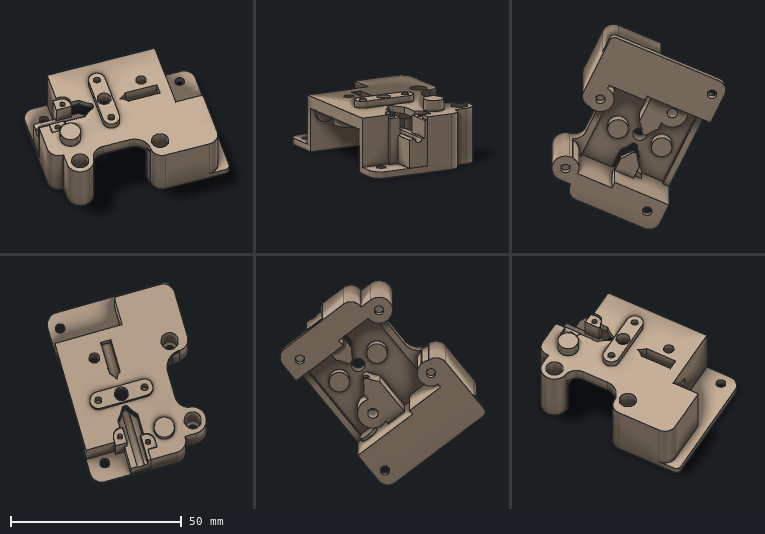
import cadquery as cq
import math

width = 38.0
length = 52.4
deck_z = 16.8
wall = 2.0
flange_radius = 3.5

front_wall_y = 7.9
rear_wall_y = 41.05
cavity_front = front_wall_y + wall
cavity_rear = rear_wall_y - wall
rail_z = 13.1
ceiling_z = deck_z - wall

rear_block_x = 20.5
rear_block_y = 49.45
rear_block_round = 3.5
rear_block_edge = 0.5
rear_flange_round = 1.5
rear_thickening = 1.4
neck_x = 29.55
foot_x = 29.05
foot_radius = 3.5
post_diameter = 8.0
post_radius = post_diameter / 2
neck_rear_radius = 5.0
post_x = 32.55
front_post_y = 7.9
rear_post_y = 32.5
foot_y = front_post_y - post_radius
shoulder_y = 29.0
open_right_x = 32.05
shoulder_radius = 3.5
post_hole = 2.7
post_counterbore = 5.0

channel_left = 11.5
channel_right = 17.55
channel_half = (channel_right - channel_left) / 2
axis_x = channel_left + channel_half
axis_z = 10.55
bore = 2.2
channel_front = 0.15
channel_z = 10.5
tongue_z = 8.5
tongue_shoulder_y = 14.1
tongue_tip_y = 17.55
nose_half = 0.9
nose_length = 0.45
flare = 0.15
guide_shoulder_y = 27.3
guide_tip_y = 23.85

slot_width = 3.15
slot_rear = 37.6
slot_shoulder_y = 27.95
slot_tip_y = 25.85
slot_tube = 4.0

seat_z = 15.8
seat_radius = 2.5
seat_hole = 1.5
seat_hole_depth = 5.0
left_seat = {"x0": 8.75, "x1": 12.2, "y0": 6.95, "y1": 11.65}
right_seat = {"x0": 16.65, "x1": 20.35, "y0": 3.2, "y1": front_wall_y}
left_seat_hole = (10.75, 9.3)
right_seat_hole = (18.25, 5.5)

bar_y = 20.9
bar_width = 5.0
bar_pitch = 14.1
bar_height = 2.05
bar_hole = 2.0
bar_hole_depth = 5.75
bar_center_hole = 4.0
bar_boss = 6.0
bar_boss_z = 12.05
pin_x = 23.8
pin_y = 7.65
pin_diameter = 6.0
pin_top_z = 20.1
hub_x = 9.9
hub_y = 33.7
hub_diameter = 9.0
hub_hole = 3.0
pad_x = 4.45
pad_z = 11.7
pad_diameter = 5.7
pad_thickness = 1.0
flange_hole = 2.7
flange_holes = [(3.45, 47.6), (5.0, 5.4)]


def box(x0, x1, y0, y1, z0, z1):
    """Block between two opposite corners."""
    return cq.Workplane("XY").box(x1 - x0, y1 - y0, z1 - z0, centered=False).translate((x0, y0, z0))


def cylinder(x, y, diameter, z0, z1):
    """Upright cylinder between two heights."""
    return cq.Workplane("XY", origin=(x, y, z0)).circle(diameter / 2).extrude(z1 - z0)


def rod(diameter, y0, y1):
    """Cylinder on the channel axis between two places along Y."""
    return cq.Workplane("XZ", origin=(axis_x, y0, axis_z)).circle(diameter / 2).extrude(y0 - y1)


def pointed_strip(half_width, end_y, shoulder_y, tip_y, nose, z0, z1):
    """Strip along Y whose hollow flanks taper to a tip; a nose width of zero leaves the tip sharp."""
    forward = math.copysign(1, tip_y - end_y)
    nose_y = tip_y - forward * nose_length if nose > 0 else tip_y
    mid_x = (half_width + nose) / 2
    rise = abs(nose_y - shoulder_y)
    run = half_width - nose
    hollow_x = mid_x - flare * rise / math.hypot(rise, run)
    hollow_y = (shoulder_y + nose_y) / 2 - forward * flare * run / math.hypot(rise, run)
    outline = (
        cq.Workplane("XY", origin=(axis_x, 0, z0))
        .moveTo(-half_width, end_y)
        .lineTo(half_width, end_y)
        .lineTo(half_width, shoulder_y)
        .threePointArc((hollow_x, hollow_y), (nose, nose_y))
    )
    if nose > 0:
        outline = outline.threePointArc((0, tip_y), (-nose, nose_y))
    outline = outline.threePointArc((-hollow_x, hollow_y), (-half_width, shoulder_y))
    return outline.close().extrude(z1 - z0)


def seat(x0, x1, y0, y1, z0, z1, rounded):
    """Screw seat with one rounded rear corner."""
    return box(x0, x1, y0, y1, z0, z1).edges(rounded).fillet(seat_radius)


def outer_body():
    """Full-height outline with the foot, the front post, the neck and the rear block."""
    neck_center_x = neck_x + post_radius
    neck_front_y = front_post_y + math.sqrt((2 * post_radius) ** 2 - (neck_center_x - post_x) ** 2)
    tangent_point = ((neck_center_x + post_x) / 2, (neck_front_y + front_post_y) / 2)
    body = (
        cq.Workplane("XY")
        .moveTo(0, 0)
        .lineTo(foot_x - foot_radius, 0)
        .radiusArc((foot_x, foot_radius), -foot_radius)
        .lineTo(foot_x, foot_y)
        .lineTo(post_x, foot_y)
        .lineTo(*tangent_point)
        .radiusArc((neck_x, neck_front_y), post_radius)
        .lineTo(neck_x, shoulder_y - neck_rear_radius)
        .radiusArc((neck_x + neck_rear_radius, shoulder_y), neck_rear_radius)
        .lineTo(width - shoulder_radius, shoulder_y)
        .radiusArc((width, shoulder_y + shoulder_radius), -shoulder_radius)
        .lineTo(width, rear_block_y - rear_block_round)
        .radiusArc((width - rear_block_round, rear_block_y), -rear_block_round)
        .lineTo(rear_block_x + rear_block_edge, rear_block_y)
        .radiusArc((rear_block_x, rear_block_y - rear_block_edge), -rear_block_edge)
        .lineTo(rear_block_x, rear_wall_y)
        .lineTo(0, rear_wall_y)
        .close()
        .extrude(deck_z)
    )
    return body.union(cylinder(post_x, front_post_y, post_diameter, 0, deck_z))


def rear_flange():
    flange = box(0, width, cavity_rear, length, 0, wall)
    flange = flange.edges("|Z and >Y and <X").fillet(flange_radius)
    return flange.edges("|Z and >Y and >X").fillet(rear_flange_round)


def cavity():
    """Space under the deck, open on both sides below the edge rails."""
    thick_rear = cavity_rear - rear_thickening
    space = cq.Workplane("XY")
    for left, right, top in ((wall, neck_x - wall, ceiling_z), (0, open_right_x, rail_z)):
        space = space.union(box(left, channel_right, cavity_front, cavity_rear, 0, top))
        space = space.union(box(channel_right, rear_block_x, front_wall_y, cavity_rear, 0, top))
        space = space.union(box(rear_block_x, right, front_wall_y, thick_rear, 0, top))
    return space


def channel_cut():
    """Front-left corner above the flange, and the channel above the tongue."""
    corner = box(0, channel_right, 0, front_wall_y, wall, deck_z)
    channel = pointed_strip(
        channel_half, 0, tongue_shoulder_y, tongue_tip_y, nose_half, channel_z, deck_z
    )
    return corner.union(channel)


def channel_parts():
    """Tongue, the block that carries it and the two screw seats."""
    parts = pointed_strip(
        channel_half, channel_front, tongue_shoulder_y, tongue_tip_y, nose_half, tongue_z, channel_z
    )
    parts = parts.union(box(channel_left, channel_right, channel_front, front_wall_y, 0, channel_z))
    parts = parts.union(seat(**left_seat, z0=channel_z, z1=seat_z, rounded="|Z and >Y and <X"))
    parts = parts.union(
        box(left_seat["x0"], channel_left, left_seat["y0"], cavity_front, 0, seat_z)
    )
    return parts.union(
        box(right_seat["x0"], channel_right, channel_front, right_seat["y1"], channel_z, seat_z)
    )


def under_deck_parts():
    """Posts, guide, hub, bar bosses and the rounded pad on the rear wall."""
    parts = pointed_strip(
        channel_half, cavity_rear, guide_shoulder_y, guide_tip_y, nose_half, tongue_z, ceiling_z
    )
    parts = parts.union(cylinder(hub_x, hub_y, hub_diameter, tongue_z, ceiling_z))
    for y in (front_post_y, rear_post_y):
        parts = parts.union(cylinder(post_x, y, post_diameter, 0, ceiling_z))
    for side in (-1, 1):
        parts = parts.union(
            cylinder(axis_x + side * bar_pitch / 2, bar_y, bar_boss, bar_boss_z, ceiling_z)
        )
    pad_radius = pad_diameter / 2
    pad_front = cavity_rear - pad_thickness
    pad = (
        cq.Workplane("XZ", origin=(pad_x, cavity_rear, pad_z))
        .circle(pad_radius)
        .extrude(pad_thickness)
        .intersect(box(pad_x - pad_radius, pad_x + pad_radius, pad_front, cavity_rear, 0, pad_z))
    )
    pad = pad.union(
        box(pad_x - pad_radius, pad_x + pad_radius, pad_front, cavity_rear, pad_z, ceiling_z)
    )
    return parts.union(pad)


def deck_parts():
    """Rounded bar and pin standing on the deck."""
    bar = (
        cq.Workplane("XY", origin=(axis_x, bar_y, ceiling_z))
        .slot2D(bar_pitch + bar_width, bar_width)
        .extrude(wall + bar_height)
    )
    return bar.union(cylinder(pin_x, pin_y, pin_diameter, ceiling_z, pin_top_z))


def slot_cut():
    """Pointed slot whose floor is the rounded back of the tube around the bore."""
    slot = pointed_strip(
        slot_width / 2, slot_rear, slot_shoulder_y, slot_tip_y, 0, axis_z, deck_z
    )
    return slot.cut(rod(slot_tube, 0, length))


def holes():
    """Upright holes and the bore along the channel axis."""
    cuts = rod(bore, 0, length)
    for x, y in flange_holes:
        cuts = cuts.union(cylinder(x, y, flange_hole, 0, wall))
    for y in (front_post_y, rear_post_y):
        cuts = cuts.union(cylinder(post_x, y, post_hole, 0, deck_z))
        cuts = cuts.union(cylinder(post_x, y, post_counterbore, wall, deck_z))
    cuts = cuts.union(cylinder(hub_x, hub_y, hub_hole, 0, deck_z))
    bar_top = deck_z + bar_height
    cuts = cuts.union(cylinder(axis_x, bar_y, bar_center_hole, bar_boss_z, bar_top))
    for side in (-1, 1):
        hole_x = axis_x + side * bar_pitch / 2
        cuts = cuts.union(cylinder(hole_x, bar_y, bar_hole, bar_top - bar_hole_depth, bar_top))
    for x, y in (left_seat_hole, right_seat_hole):
        cuts = cuts.union(cylinder(x, y, seat_hole, seat_z - seat_hole_depth, seat_z))
    return cuts


result = outer_body().union(rear_flange())
result = result.edges("|Z and <X and <Y").fillet(flange_radius)
result = result.cut(cavity()).cut(channel_cut())
result = result.cut(seat(**left_seat, z0=seat_z, z1=deck_z, rounded="|Z and >Y and <X"))
result = result.cut(seat(**right_seat, z0=seat_z, z1=deck_z, rounded="|Z and >Y and >X"))
result = result.union(channel_parts()).union(under_deck_parts()).union(deck_parts())
result = result.cut(slot_cut()).cut(holes())